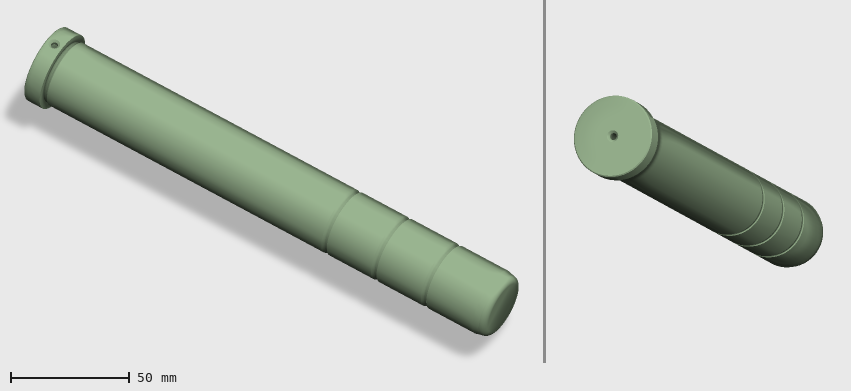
import cadquery as cq
import math

length = 230.0
head_diameter = 35.0
head_length = 8.0
head_chamfer = 0.5
shaft_diameter = 30.0
fit_end = 48.3

recess_depth = 0.7
relief_flat = 1.2
relief_width = 2.0
groove_start = 148.4
groove_pitch = 25.0
groove_count = 3
groove_width = 2.8
groove_ramp = 1.4

taper_length = 2.8
taper_drop = 0.7
nose_radius = 2.8

hole_diameter = 3.0
mouth_diameter = 5.0
axial_hole_depth = 8.0
cross_hole_depth = 2.3
drill_point_angle = 118.0
cross_hole_x = head_length / 2

head_radius = head_diameter / 2
shaft_radius = shaft_diameter / 2
recess_radius = shaft_radius - recess_depth


def make_body():
    """Revolve the half outline of the pin about its axis."""
    relief_end = head_length + relief_width
    outline = (
        cq.Workplane("XY")
        .lineTo(0, head_radius - head_chamfer)
        .lineTo(head_chamfer, head_radius)
        .lineTo(head_length, head_radius)
        .lineTo(head_length, recess_radius)
        .lineTo(head_length + relief_flat, recess_radius)
        .lineTo(relief_end, shaft_radius)
        .lineTo(fit_end, shaft_radius)
    )
    for index in range(groove_count):
        start = groove_start + index * groove_pitch
        end = start + groove_width
        outline = (
            outline.lineTo(start, shaft_radius)
            .lineTo(start + groove_ramp, recess_radius)
            .lineTo(end, recess_radius)
            .lineTo(end, shaft_radius)
        )

    nose_start = length - nose_radius
    nose_outer = shaft_radius - taper_drop
    arc_offset = nose_radius * math.sin(math.radians(45))
    nose_middle = (nose_start + arc_offset, nose_outer - nose_radius + arc_offset)
    outline = (
        outline.lineTo(nose_start - taper_length, shaft_radius)
        .lineTo(nose_start, nose_outer)
        .threePointArc(nose_middle, (length, nose_outer - nose_radius))
        .lineTo(length, 0)
        .close()
    )
    return outline.revolve(360, (0, 0, 0), (1, 0, 0))


def make_drill(depth):
    """Drill along +Z from the origin, with a 45 degree countersink and a conical point."""
    radius = hole_diameter / 2
    mouth_radius = mouth_diameter / 2
    mouth_depth = mouth_radius - radius
    point_length = radius / math.tan(math.radians(drill_point_angle / 2))
    return (
        cq.Workplane("XZ")
        .lineTo(mouth_radius, 0)
        .lineTo(radius, mouth_depth)
        .lineTo(radius, depth)
        .lineTo(0, depth + point_length)
        .close()
        .revolve(360, (0, 0, 0), (0, 1, 0))
    )


axial_hole = make_drill(axial_hole_depth).rotate((0, 0, 0), (0, 1, 0), 90)
cross_hole = (
    make_drill(cross_hole_depth)
    .rotate((0, 0, 0), (1, 0, 0), 180)
    .translate((cross_hole_x, 0, head_radius))
)

result = make_body().cut(axial_hole).cut(cross_hole)